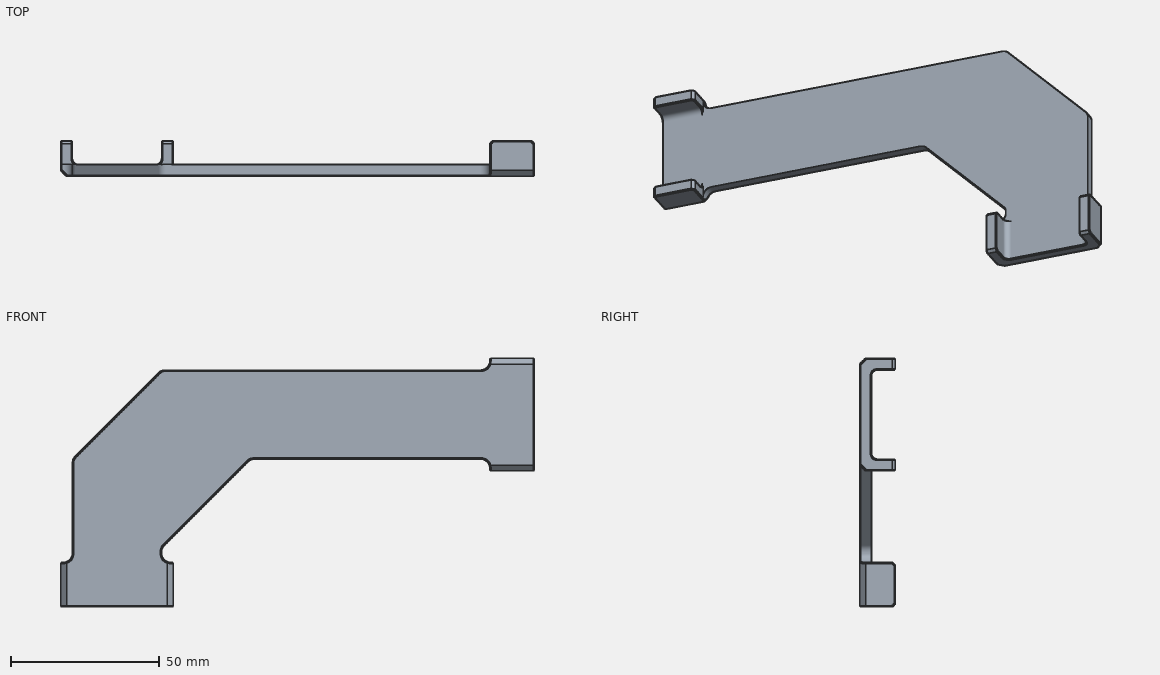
import cadquery as cq

length = 160.0
height = 84.0
depth = 12.0

plate_thickness = 4.0
jaw_thickness = 4.0
jaw_span = 38.0
jaw_width = 15.0
band_width = jaw_span - 2 * jaw_thickness

bend_radius = 3.0
root_radius = 2.0
heel_chamfer = plate_thickness / 2
tip_chamfer = 1.0
rim_chamfer = 0.4
tolerance = 0.2

band_left = jaw_thickness
band_right = band_left + band_width
band_top = height - jaw_thickness
band_bottom = band_top - band_width
inner_bend_height = band_bottom - band_width
inner_bend_x = band_right + band_width
arm_end = length - jaw_width

bends = [
    (band_right, inner_bend_height),
    (inner_bend_x, band_bottom),
    (band_right, band_top),
    (band_left, band_bottom),
]
necks = [
    (band_left, jaw_width),
    (band_right, jaw_width),
    (arm_end, band_bottom),
    (arm_end, band_top),
]


def make_band():
    """Flat band with 45 degree bends, ending halfway into the clips at both ends."""
    overlap = jaw_width / 2
    outline = cq.Workplane("XZ").polyline([
        (band_left, overlap),
        (band_right, overlap),
        (band_right, inner_bend_height),
        (inner_bend_x, band_bottom),
        (length - overlap, band_bottom),
        (length - overlap, band_top),
        (band_right, band_top),
        (band_left, band_bottom),
    ]).close()
    return outline.extrude(-plate_thickness)


def make_clip():
    """Channel along Z: floor on the XZ plane and two jaws reaching towards +Y."""
    channel = (
        cq.Workplane("XY")
        .rect(jaw_span, depth, centered=False)
        .extrude(jaw_width)
        .edges("|Z and <Y").chamfer(heel_chamfer)
    )
    gap = (
        cq.Workplane("XY")
        .moveTo(jaw_thickness, plate_thickness)
        .rect(band_width, depth, centered=False)
        .extrude(jaw_width)
        .edges("|Z and <Y").fillet(root_radius)
    )
    clip = channel.cut(gap).edges("|X and >Y").chamfer(tip_chamfer)
    around_gap = cq.selectors.BoxSelector(
        (jaw_thickness - tolerance, plate_thickness - tolerance, -tolerance),
        (jaw_span - jaw_thickness + tolerance, depth + tolerance, jaw_width + tolerance),
    )
    return clip.edges(around_gap).edges("(not |Z) or >Y").chamfer(rim_chamfer)


def round_corners(body, corners):
    """Round the plate edges that run along Y at the given (x, z) corners."""
    for x, z in corners:
        near_corner = cq.selectors.BoxSelector(
            (x - tolerance, 0, z - tolerance),
            (x + tolerance, plate_thickness, z + tolerance),
        )
        body = body.edges("|Y").edges(near_corner).fillet(bend_radius)
    return body


def is_outer_skin(face):
    """True for the front face, the heel chamfers and the outer faces of the jaws."""
    center = face.Center()
    faces_front = face.normalAt().y < -tolerance
    beside_leg = any(abs(center.x - x) < tolerance for x in (0, jaw_span))
    beside_arm = any(abs(center.z - z) < tolerance for z in (height - jaw_span, height))
    return faces_front or beside_leg or beside_arm


def break_outer_rim(body):
    """Chamfer the rim of the outer skin, leaving the folds inside the skin alone."""
    skin_edges = [
        edge
        for face in body.faces().vals() if is_outer_skin(face)
        for edge in face.Edges()
    ]
    rim = [
        edge for edge in skin_edges
        if sum(edge.isSame(other) for other in skin_edges) == 1
    ]
    return body.newObject(rim).chamfer(rim_chamfer)


leg_clip = make_clip()
arm_clip = (
    make_clip()
    .rotate((0, 0, 0), (0, 1, 0), -90)
    .translate((length, 0, height - jaw_span))
)

frame = make_band().union(leg_clip).union(arm_clip)
result = break_outer_rim(round_corners(frame, bends + necks))